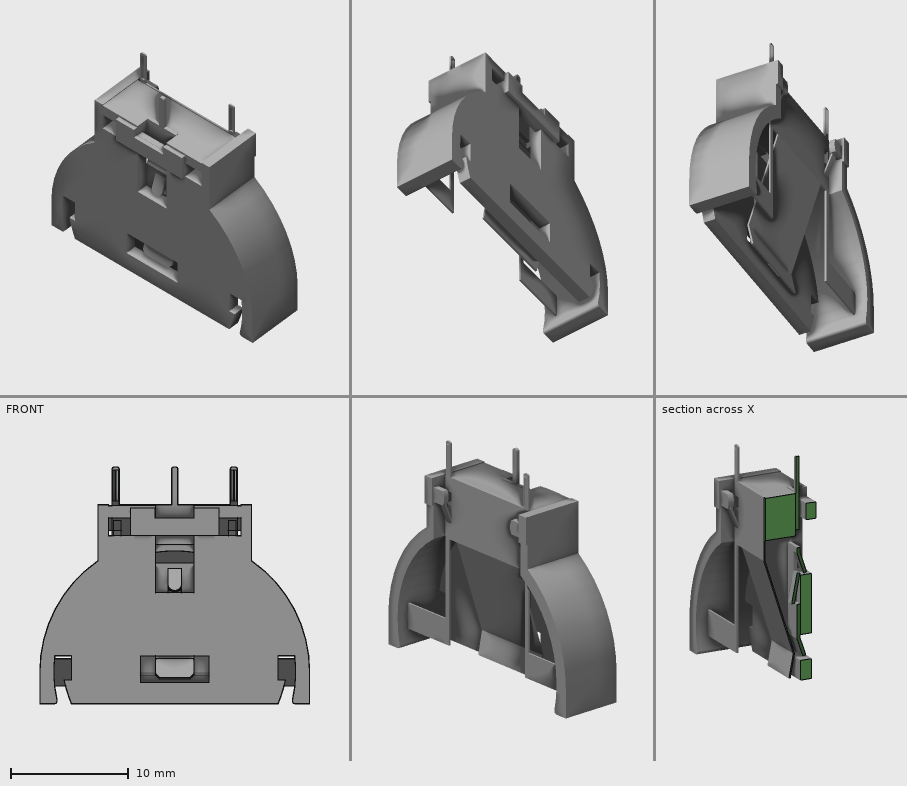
import cadquery as cq
import math


OUTER_RADIUS = 11.45
CELL_RADIUS = 10.25
CELL_Z = 2.73
NECK_HALF = 6.53
NECK_TOP = 16.9
NECK_TOP_DROP = 0.1
DEPTH = 5.72
EAR_DEPTH = 5.93
EAR_BOTTOM = 14.35
EAR_INNER_HALF = 5.6
FRONT_WALL = 1.1
RECESS_Y = 4.45
ARM_TIP_ROUND = 0.27

BAR_HALF = 3.75
BAR_BOTTOM = 14.27
BAR_TOP = 16.6
BAR_FRONT = 0.41
OPENING_TOP = 15.78
NOTCH_LEFT = 1.7
NOTCH_EXTRA_DEPTH = 0.02
POCKET_FRONT = 0.57
UPPER_WINDOW_BOTTOM = 9.43
LOWER_WINDOW_HALF = 2.9
LOWER_WINDOW_BOTTOM = 1.8
LOWER_WINDOW_TOP = 4.08

SLOT_INNER_X = 8.77
SLOT_STEP_X = 9.4
SLOT_STEP_Z = 2.04
SLOT_CURVE_X = 9.11
SLOT_CURVE_Z = 0.96

HOOK_INNER_X = 4.25
HOOK_FRONT = 5.2
HOOK_BOTTOM = 14.7
HOOK_TOP = 16.0
HOOK_TIP_BULGE = 0.18

PIN_TOP = 20.1
STRIP_HALF = 1.63
STRIP_FRONT = FRONT_WALL
STRIP_THICKNESS = 0.32
STRIP_BACK = STRIP_FRONT + STRIP_THICKNESS
TERMINAL_FRONT = 1.2
TERMINAL_BACK = TERMINAL_FRONT + STRIP_THICKNESS
TERMINAL_BOTTOM = 13.5
TERMINAL_PIN_WIDTH = 0.55
PIN_TIP_ROUND = 0.2
STRIP_TOP = 11.93
TONGUE_TILT = 19.0
FINGER_TILT = 11.0
CATCH_HALF = 0.57
CATCH_TIP_ROUND = 0.55
CATCH_TOP = 11.43
CATCH_TIP = 9.41
SLIT_MIDDLE = 9.62
FINGER_BOTTOM = 6.87
LEAD_IN_TOP = 3.78
LEAD_IN_BOTTOM = 2.04
LEAD_IN_CHAMFER = 0.35

SPRING_TILT = 18.0
SPRING_RETURN_TILT = 11.0
STOP_TILT = 22.0
SHEET = 0.15
SHEET_BACK = RECESS_Y + SHEET
NECK_SHEET_HALF = 5.34
FRAME_OPENING_HALF = 4.9
WING_BOTTOM = 1.5
WING_TOP = 3.85
SPRING_HALF = 3.9
SPRING_TOP = 11.22
SPRING_BEND_Z = 2.52
SPRING_END_Z = 0.35
SPRING_BEND_ROUND = 0.45
SIDE_PIN_X = 5.02
SIDE_PIN_WIDTH = 0.62
RIB_BOTTOM = 17.22
RIB_TOP = 19.83
RIB_HALF = 0.23
RIB_CREST_HALF = 0.05
RIB_HEIGHT = 0.14
STOP_X = 4.88
STOP_WIDTH = 0.65
STOP_HOLE_TOP = 15.55
STOP_TOP = 14.85
STOP_BOTTOM = 12.75


def block(x0, x1, y0, y1, z0, z1):
    """Box between the given limits."""
    return cq.Workplane("XY").box(x1 - x0, y1 - y0, z1 - z0, centered=False).translate((x0, y0, z0))


def centred_block(half_width, y0, y1, z0, z1):
    return block(-half_width, half_width, y0, y1, z0, z1)


def front_sketch(y):
    """Workplane facing -Y at depth y; positive extrusion goes towards -Y."""
    return cq.Workplane("XZ", origin=(0, y, 0))


def cell_cylinder(y0, y1):
    return front_sketch(y0).center(0, CELL_Z).circle(CELL_RADIUS).extrude(y0 - y1)


def mirrored(body):
    return body.union(body.mirror("YZ"))


def bent_tongue(blank, y, z, angle):
    """Turn a flat tongue about the line along X at (y, z); the lower end swings forward if angle > 0."""
    return blank.rotate((0, y, z), (1, y, z), -angle)


def housing_shell():
    shoulder_z = CELL_Z + math.sqrt(OUTER_RADIUS**2 - NECK_HALF**2)
    diagonal = OUTER_RADIUS * math.sqrt(0.5)
    shell = (
        front_sketch(0)
        .moveTo(-OUTER_RADIUS, 0)
        .lineTo(-OUTER_RADIUS, CELL_Z)
        .threePointArc((-diagonal, CELL_Z + diagonal), (-NECK_HALF, shoulder_z))
        .lineTo(-NECK_HALF, NECK_TOP)
        .lineTo(NECK_HALF, NECK_TOP)
        .lineTo(NECK_HALF, shoulder_z)
        .threePointArc((diagonal, CELL_Z + diagonal), (OUTER_RADIUS, CELL_Z))
        .lineTo(OUTER_RADIUS, 0)
        .close()
        .extrude(-DEPTH)
    )
    ear = block(EAR_INNER_HALF, NECK_HALF, RECESS_Y, EAR_DEPTH, EAR_BOTTOM, NECK_TOP)
    shell = shell.union(mirrored(ear))
    shell = shell.cut(cell_cylinder(FRONT_WALL, DEPTH))
    recess = centred_block(EAR_INNER_HALF, RECESS_Y, EAR_DEPTH, CELL_Z, NECK_TOP)
    top_step = centred_block(EAR_INNER_HALF, 0, RECESS_Y, NECK_TOP - NECK_TOP_DROP, NECK_TOP)
    return shell.cut(recess).cut(top_step)


def corner_slot():
    """Slot on the +X side between the front wall and the side arm, following the cell cylinder."""
    slot = (
        front_sketch(0)
        .moveTo(SLOT_INNER_X, LOWER_WINDOW_TOP)
        .lineTo(SLOT_INNER_X, SLOT_STEP_Z)
        .lineTo(SLOT_STEP_X, SLOT_STEP_Z)
        .threePointArc((SLOT_CURVE_X, SLOT_CURVE_Z), (SLOT_INNER_X, 0))
        .lineTo(OUTER_RADIUS, 0)
        .lineTo(OUTER_RADIUS, LOWER_WINDOW_TOP)
        .close()
        .extrude(-FRONT_WALL)
    )
    return slot.intersect(cell_cylinder(0, FRONT_WALL))


def hook():
    """Hook on the +X side that reaches inwards from the ear and ends in a rounded tip."""
    shoulder_x = HOOK_INNER_X + HOOK_TIP_BULGE
    return (
        front_sketch(HOOK_FRONT)
        .moveTo(EAR_INNER_HALF, HOOK_BOTTOM)
        .lineTo(shoulder_x, HOOK_BOTTOM)
        .threePointArc((HOOK_INNER_X, (HOOK_BOTTOM + HOOK_TOP) / 2), (shoulder_x, HOOK_TOP))
        .lineTo(EAR_INNER_HALF, HOOK_TOP)
        .close()
        .extrude(HOOK_FRONT - DEPTH)
    )


def make_housing():
    body = housing_shell()
    bar = centred_block(BAR_HALF, -BAR_FRONT, 0, BAR_BOTTOM, BAR_TOP)
    notch_z = OPENING_TOP - NOTCH_EXTRA_DEPTH
    notch = block(-NOTCH_LEFT, STRIP_HALF, -BAR_FRONT, 0, notch_z, BAR_TOP)
    body = body.union(bar).cut(notch)

    side_opening = block(BAR_HALF, EAR_INNER_HALF, 0, RECESS_Y, BAR_BOTTOM, OPENING_TOP)
    body = body.cut(mirrored(side_opening))

    pocket = centred_block(STRIP_HALF, POCKET_FRONT, TERMINAL_BACK, STRIP_TOP, NECK_TOP)
    pocket_mouth = centred_block(STRIP_HALF, 0, POCKET_FRONT, OPENING_TOP, NECK_TOP)
    upper_window = centred_block(STRIP_HALF, 0, FRONT_WALL, UPPER_WINDOW_BOTTOM, BAR_BOTTOM)
    lower_window = centred_block(LOWER_WINDOW_HALF, 0, FRONT_WALL, LOWER_WINDOW_BOTTOM, LOWER_WINDOW_TOP)
    body = body.cut(pocket).cut(pocket_mouth).cut(upper_window).cut(lower_window)

    body = body.cut(mirrored(corner_slot()))
    arm_tip_x = math.sqrt(CELL_RADIUS**2 - CELL_Z**2)
    for x in (-arm_tip_x, arm_tip_x):
        tip_edge = cq.selectors.BoxSelector((x - 0.23, -0.23, -0.23), (x + 0.23, DEPTH + 0.23, 0.23))
        body = body.edges("|Y").edges(tip_edge).fillet(ARM_TIP_ROUND)
    return body.union(mirrored(hook()))


def make_terminal_pin():
    plate = centred_block(STRIP_HALF, TERMINAL_FRONT, TERMINAL_BACK, TERMINAL_BOTTOM, NECK_TOP)
    pin = centred_block(TERMINAL_PIN_WIDTH / 2, TERMINAL_FRONT, TERMINAL_BACK, TERMINAL_BOTTOM, PIN_TOP)
    pin = pin.edges("|Y and >Z").fillet(PIN_TIP_ROUND)
    return plate.union(pin)


def make_cell_strip():
    """Strip behind the front wall: a catch and a finger share its slit, and its end is bent forward."""
    strip = centred_block(STRIP_HALF, STRIP_FRONT, STRIP_BACK, LEAD_IN_TOP, STRIP_TOP)
    slit = centred_block(CATCH_HALF, STRIP_FRONT, STRIP_BACK, FINGER_BOTTOM, CATCH_TOP)
    catch = centred_block(CATCH_HALF, STRIP_FRONT, STRIP_BACK, CATCH_TIP, CATCH_TOP)
    catch = catch.edges("|Y and <Z").fillet(CATCH_TIP_ROUND)
    finger = centred_block(CATCH_HALF, STRIP_FRONT, STRIP_BACK, FINGER_BOTTOM, SLIT_MIDDLE)
    lead_in = centred_block(STRIP_HALF, STRIP_FRONT, STRIP_BACK, LEAD_IN_BOTTOM, LEAD_IN_TOP)
    lead_in = lead_in.edges("|Y and <Z").chamfer(LEAD_IN_CHAMFER)
    strip = strip.cut(slit)
    strip = strip.union(bent_tongue(catch, STRIP_BACK, CATCH_TOP, TONGUE_TILT))
    strip = strip.union(bent_tongue(finger, STRIP_FRONT, SLIT_MIDDLE, -FINGER_TILT))
    return strip.union(bent_tongue(lead_in, STRIP_BACK, LEAD_IN_TOP, TONGUE_TILT))


def side_pin():
    """Pin on the +X side, with a pressed groove in front and the matching rib behind."""
    left = SIDE_PIN_X - SIDE_PIN_WIDTH / 2
    pin = block(left, left + SIDE_PIN_WIDTH, RECESS_Y, SHEET_BACK, NECK_TOP, PIN_TOP)
    pin = pin.edges("|Y and >Z").fillet(PIN_TIP_ROUND)

    def rib_bar(y):
        return (
            cq.Workplane("XY", origin=(SIDE_PIN_X, y, RIB_BOTTOM))
            .moveTo(-RIB_HALF, 0)
            .lineTo(-RIB_CREST_HALF, RIB_HEIGHT)
            .lineTo(RIB_CREST_HALF, RIB_HEIGHT)
            .lineTo(RIB_HALF, 0)
            .close()
            .extrude(RIB_TOP - RIB_BOTTOM)
        )

    return pin.union(rib_bar(SHEET_BACK)).cut(rib_bar(RECESS_Y))


def stop_tongue():
    """Tongue on the +X side that leans back under the hook."""
    left = STOP_X - STOP_WIDTH / 2
    tongue = block(left, left + STOP_WIDTH, RECESS_Y, SHEET_BACK, STOP_BOTTOM, STOP_TOP)
    return bent_tongue(tongue, RECESS_Y, STOP_BOTTOM, STOP_TILT)


def spring():
    """Wide tongue that leans forward to a bend and then back again."""
    slope = math.tan(math.radians(SPRING_TILT))
    return_slope = math.tan(math.radians(SPRING_RETURN_TILT))
    bend_y = RECESS_Y - (SPRING_TOP - SPRING_BEND_Z) * slope
    end_y = bend_y + (SPRING_BEND_Z - SPRING_END_Z) * return_slope
    body = (
        cq.Workplane("YZ", origin=(-SPRING_HALF, 0, 0))
        .moveTo(RECESS_Y, SPRING_TOP)
        .lineTo(bend_y, SPRING_BEND_Z)
        .lineTo(end_y, SPRING_END_Z)
        .lineTo(end_y + SHEET, SPRING_END_Z)
        .lineTo(bend_y + SHEET, SPRING_BEND_Z)
        .lineTo(SHEET_BACK, SPRING_TOP)
        .close()
        .extrude(2 * SPRING_HALF)
    )
    return body.edges("|X and <Y").fillet(SPRING_BEND_ROUND)


def make_rear_contact():
    """Flat frame with side wings, a central spring, two stop tongues and two pins."""
    sheet = centred_block(NECK_SHEET_HALF, RECESS_Y, SHEET_BACK, WING_BOTTOM, NECK_TOP)
    wings = centred_block(CELL_RADIUS, RECESS_Y, SHEET_BACK, WING_BOTTOM, WING_TOP)
    sheet = sheet.union(wings.intersect(cell_cylinder(RECESS_Y, SHEET_BACK)))
    opening = centred_block(FRAME_OPENING_HALF, RECESS_Y, SHEET_BACK, WING_BOTTOM, SPRING_TOP)
    left = STOP_X - STOP_WIDTH / 2
    stop_hole = block(left, left + STOP_WIDTH, RECESS_Y, SHEET_BACK, STOP_BOTTOM, STOP_HOLE_TOP)
    sheet = sheet.cut(opening).cut(mirrored(stop_hole)).union(spring())
    return sheet.union(mirrored(stop_tongue())).union(mirrored(side_pin()))


housing = make_housing()
terminal_pin = make_terminal_pin()
cell_strip = make_cell_strip()
rear_contact = make_rear_contact()

result = cq.Compound.makeCompound(
    [body.solids().val() for body in (housing, terminal_pin, cell_strip, rear_contact)]
)